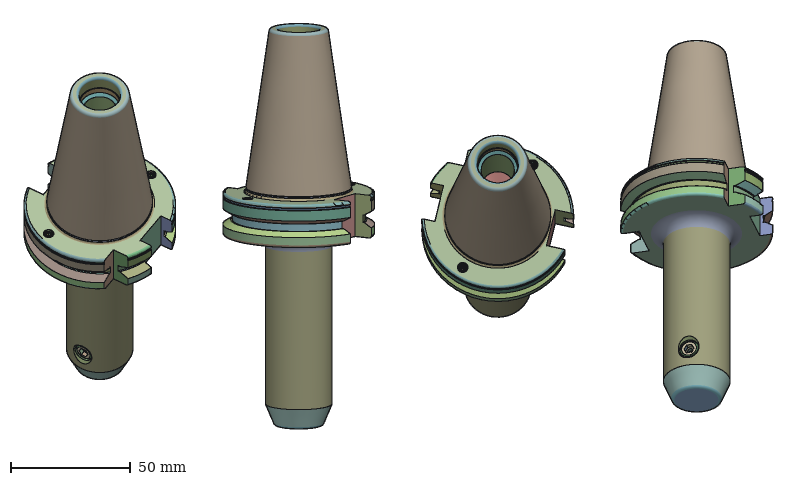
import cadquery as cq
import math


cut_margin = 1.7

total_length = 168.4
taper_length = 67.4
taper_ratio = 7 / 24
gauge_radius = 44.3 / 2
taper_tip_radius = gauge_radius - taper_length * taper_ratio / 2
tip_fillet = 1.3

neck_relief_depth = 0.3
neck_relief_height = 0.8
neck_fillet = 0.8

flange_radius = 63.5 / 2
flange_top = -1.9
flange_bottom = -20.0
flange_fillet = 1.0

ring_groove_z = flange_top - 1.9
ring_groove_width = 1.2
ring_groove_depth = 0.25

groove_z = flange_top - 10.3
groove_floor_radius = 55.5 / 2
groove_floor_width = 3.2
groove_wall_height = 0.7
groove_flank_angle = 30.0

slot_width = 16.2
left_slot_floor = 22.7
right_slot_floor = 25.1
notch_offset = 18.5

shank_radius = 28.0 / 2
shank_fillet = 5.0
end_z = taper_length - total_length
nose_height = 9.1
nose_end_radius = 20.4 / 2
nose_fillet = 1.5

bore_mouth_fillet = 1.0
bore_radius = 8.6
bore_depth = 5.7
pilot_radius = 8.3
pilot_depth = 8.5
thread_radius = 6.9
thread_start = 9.6
thread_depth = 32.0
drill_half_angle = 59.0

clamp_z = end_z + 17.9
clamp_mouth_radius = 5.2
clamp_hole_radius = 4.0
clamp_screw_depth = 1.3
clamp_screw_chamfer = 0.8
clamp_hex_width = 3.7
clamp_hex_depth = 2.0

socket_pilot_ratio = 0.6

plug_pitch_radius = 27.0
plug_angle = 70.0
plug_mouth_radius = 2.2
plug_hole_radius = 1.9
plug_screw_depth = 0.7
plug_screw_chamfer = 0.5
plug_hex_width = 1.7
plug_hex_depth = 1.5


def revolve_about_z(profile):
    """Turn a closed (radius, Z) profile about the Z axis."""
    return profile.close().revolve(360, (0, 0, 0), (0, 1, 0))


def make_taper():
    profile = (
        cq.Workplane("XZ")
        .lineTo(gauge_radius, 0)
        .lineTo(taper_tip_radius, taper_length)
        .lineTo(0, taper_length)
    )
    return revolve_about_z(profile).faces(">Z").edges().fillet(tip_fillet)


def make_neck():
    relief_radius = gauge_radius - neck_relief_depth
    profile = (
        cq.Workplane("XZ")
        .lineTo(gauge_radius, 0)
        .lineTo(relief_radius, -neck_relief_height / 2)
        .lineTo(gauge_radius, -neck_relief_height)
        .lineTo(gauge_radius, flange_top + neck_fillet)
        .radiusArc((gauge_radius + neck_fillet, flange_top), -neck_fillet)
        .lineTo(0, flange_top)
    )
    return revolve_about_z(profile)


def make_flange():
    disc = (
        cq.Workplane("XY", origin=(0, 0, flange_bottom))
        .circle(flange_radius)
        .extrude(flange_top - flange_bottom)
        .edges()
        .fillet(flange_fillet)
    )
    floor_radius = flange_radius - ring_groove_depth
    floor_half_width = ring_groove_width / 2 - ring_groove_depth
    ring_groove = (
        cq.Workplane("XZ")
        .moveTo(flange_radius, ring_groove_z - ring_groove_width / 2)
        .lineTo(flange_radius, ring_groove_z + ring_groove_width / 2)
        .lineTo(floor_radius, ring_groove_z + floor_half_width)
        .lineTo(floor_radius, ring_groove_z - floor_half_width)
    )
    return disc.cut(revolve_about_z(ring_groove))


def make_shank():
    profile = (
        cq.Workplane("XZ")
        .moveTo(0, flange_bottom)
        .lineTo(shank_radius + shank_fillet, flange_bottom)
        .radiusArc((shank_radius, flange_bottom - shank_fillet), -shank_fillet)
        .lineTo(shank_radius, end_z + nose_height)
        .lineTo(nose_end_radius, end_z)
        .lineTo(0, end_z)
    )
    return revolve_about_z(profile).faces("<Z").edges().fillet(nose_fillet)


def make_groove():
    half_floor = groove_floor_width / 2
    flank_start_radius = groove_floor_radius + groove_wall_height
    outer_radius = flange_radius + cut_margin
    flank_rise = (outer_radius - flank_start_radius) * math.tan(math.radians(groove_flank_angle))
    half_mouth = half_floor + flank_rise
    profile = (
        cq.Workplane("XZ")
        .moveTo(groove_floor_radius, groove_z - half_floor)
        .lineTo(flank_start_radius, groove_z - half_floor)
        .lineTo(outer_radius, groove_z - half_mouth)
        .lineTo(outer_radius, groove_z + half_mouth)
        .lineTo(flank_start_radius, groove_z + half_floor)
        .lineTo(groove_floor_radius, groove_z + half_floor)
    )
    return revolve_about_z(profile)


def make_slots():
    """Two drive slots and the orientation notch, all running through the flange."""
    height = flange_top + neck_fillet - flange_bottom
    plane = cq.Workplane("XY", origin=(0, 0, flange_bottom))

    def block(x_min, x_max, y_min, y_max):
        center = ((x_min + x_max) / 2, (y_min + y_max) / 2)
        return plane.center(*center).rect(x_max - x_min, y_max - y_min).extrude(height)

    reach = flange_radius + cut_margin
    left_slot = block(-reach, -left_slot_floor, -slot_width / 2, slot_width / 2)
    right_slot = block(right_slot_floor, reach, -slot_width / 2, slot_width / 2)
    notch = block(notch_offset, reach, -reach, -notch_offset)
    return left_slot.union(right_slot).union(notch)


def make_drawbar_bore():
    mouth_radius = bore_radius + bore_mouth_fillet
    drill_tip = thread_depth + thread_radius / math.tan(math.radians(drill_half_angle))
    profile = (
        cq.Workplane("XZ", origin=(0, 0, taper_length))
        .lineTo(mouth_radius, 0)
        .radiusArc((bore_radius, -bore_mouth_fillet), -bore_mouth_fillet)
        .lineTo(bore_radius, -bore_depth)
        .lineTo(pilot_radius, -bore_depth)
        .lineTo(pilot_radius, -pilot_depth)
        .lineTo(thread_radius, -thread_start)
        .lineTo(thread_radius, -thread_depth)
        .lineTo(0, -drill_tip)
    )
    return revolve_about_z(profile)


def make_screw_recess(mouth_radius, hole_radius, screw_depth, screw_chamfer, hex_width, hex_depth):
    """Cutter for a countersunk hole, opening at Z = 0, with a hexagon socket screw sunk into it."""
    countersink_depth = mouth_radius - hole_radius
    profile = (
        cq.Workplane("XZ")
        .lineTo(mouth_radius, 0)
        .lineTo(hole_radius, -countersink_depth)
        .lineTo(hole_radius, -screw_depth - screw_chamfer)
        .lineTo(hole_radius - screw_chamfer, -screw_depth)
        .lineTo(0, -screw_depth)
    )
    hex_corner_diameter = hex_width / math.cos(math.pi / 6)
    socket = cq.Workplane("XY").polygon(6, hex_corner_diameter).extrude(-screw_depth - hex_depth)
    pilot_depth_below_socket = hex_width / 2
    pilot = (
        cq.Workplane("XY")
        .circle(hex_width * socket_pilot_ratio / 2)
        .extrude(-screw_depth - hex_depth - pilot_depth_below_socket)
    )
    return revolve_about_z(profile).union(socket).union(pilot)


def make_clamp_recess():
    recess = make_screw_recess(
        clamp_mouth_radius,
        clamp_hole_radius,
        clamp_screw_depth,
        clamp_screw_chamfer,
        clamp_hex_width,
        clamp_hex_depth,
    )
    return recess.rotate((0, 0, 0), (1, 0, 0), 90).translate((0, -shank_radius, clamp_z))


def make_plug_recesses():
    recess = make_screw_recess(
        plug_mouth_radius,
        plug_hole_radius,
        plug_screw_depth,
        plug_screw_chamfer,
        plug_hex_width,
        plug_hex_depth,
    ).translate((plug_pitch_radius, 0, flange_top))
    upper = recess.rotate((0, 0, 0), (0, 0, 1), plug_angle)
    lower = upper.rotate((0, 0, 0), (0, 0, 1), 180)
    return upper.union(lower)


body = make_taper().union(make_neck()).union(make_flange()).union(make_shank())
cutters = [
    make_groove(),
    make_slots(),
    make_drawbar_bore(),
    make_clamp_recess(),
    make_plug_recesses(),
]
for cutter in cutters:
    body = body.cut(cutter)

result = body